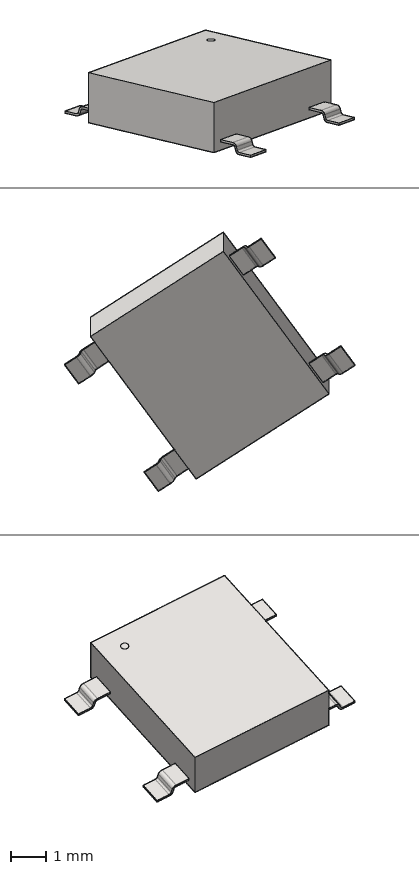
import cadquery as cq
import math

BODY_LENGTH_X = 4.605
BODY_WIDTH_Y = 5.31
BODY_HEIGHT = 1.5

LEAD_SPAN = 6.81
LEAD_WIDTH = 0.71
LEAD_ROW_Y = 2.0
LEAD_THICKNESS = 0.07
LEAD_TOP_Z = 0.32
FOOT_LENGTH = 0.415
INNER_RADIUS = 0.075
OUTER_RADIUS = INNER_RADIUS + LEAD_THICKNESS
BEND_ANGLE = 72.0

MARK_DIAMETER = 0.23
MARK_DEPTH = 0.07
MARK_X = -1.57
MARK_Y = LEAD_ROW_Y


def make_mark():
    return (
        cq.Workplane("XY", origin=(MARK_X, MARK_Y, BODY_HEIGHT - MARK_DEPTH))
        .circle(MARK_DIAMETER / 2)
        .extrude(MARK_DEPTH)
    )


def make_body():
    """Rectangular package with a matching recess for the pin-one mark."""
    block = cq.Workplane("XY").box(BODY_LENGTH_X, BODY_WIDTH_Y, BODY_HEIGHT, centered=(True, True, False))
    return block.cut(make_mark())


def point_on_bend(center, radius, angle):
    """Point on a bend arc, with the angle in degrees counted up from +X toward +Z."""
    turn = math.radians(angle)
    return (center[0] + radius * math.cos(turn), center[1] + radius * math.sin(turn))


def make_left_lead(row_y):
    """S-shaped strip from the foot tip at -X to the side face of the body."""
    tip_x = -LEAD_SPAN / 2
    body_x = -BODY_LENGTH_X / 2

    slope = math.radians(BEND_ANGLE)
    bend_radii = INNER_RADIUS + OUTER_RADIUS
    rise = LEAD_TOP_Z - LEAD_THICKNESS
    straight = (rise - bend_radii * (1 - math.cos(slope))) / math.sin(slope)
    run = bend_radii * math.sin(slope) + straight * math.cos(slope)
    lower_center = (tip_x + FOOT_LENGTH, OUTER_RADIUS)
    upper_center = (lower_center[0] + run, LEAD_TOP_Z - OUTER_RADIUS)

    lower_start = -90
    lower_end = lower_start + BEND_ANGLE
    lower_mid = (lower_start + lower_end) / 2
    upper_start = 90
    upper_end = upper_start + BEND_ANGLE
    upper_mid = (upper_start + upper_end) / 2

    profile = (
        cq.Workplane("XZ", origin=(0, row_y, 0))
        .moveTo(tip_x, 0)
        .lineTo(lower_center[0], 0)
        .threePointArc(
            point_on_bend(lower_center, OUTER_RADIUS, lower_mid),
            point_on_bend(lower_center, OUTER_RADIUS, lower_end),
        )
        .lineTo(*point_on_bend(upper_center, INNER_RADIUS, upper_end))
        .threePointArc(
            point_on_bend(upper_center, INNER_RADIUS, upper_mid),
            point_on_bend(upper_center, INNER_RADIUS, upper_start),
        )
        .lineTo(body_x, LEAD_TOP_Z - LEAD_THICKNESS)
        .lineTo(body_x, LEAD_TOP_Z)
        .lineTo(upper_center[0], LEAD_TOP_Z)
        .threePointArc(
            point_on_bend(upper_center, OUTER_RADIUS, upper_mid),
            point_on_bend(upper_center, OUTER_RADIUS, upper_end),
        )
        .lineTo(*point_on_bend(lower_center, INNER_RADIUS, lower_end))
        .threePointArc(
            point_on_bend(lower_center, INNER_RADIUS, lower_mid),
            point_on_bend(lower_center, INNER_RADIUS, lower_start),
        )
        .lineTo(tip_x, LEAD_THICKNESS)
        .close()
    )
    return profile.extrude(LEAD_WIDTH / 2, both=True)


body = make_body()
mark = make_mark()

leads = []
for row_y in (-LEAD_ROW_Y, LEAD_ROW_Y):
    left_lead = make_left_lead(row_y)
    leads.append(left_lead.val())
    leads.append(left_lead.mirror("YZ").val())

result = cq.Compound.makeCompound([body.val(), mark.val(), *leads])